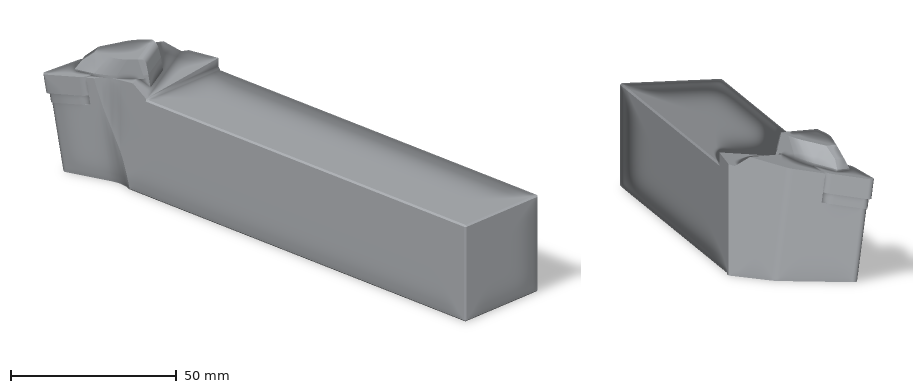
import cadquery as cq
import math

total_length = 170.0
shank_side = 32.0
edge_chamfer = 0.5
head_end = 35.7
step_fillet = 0.8

nose_overhang = 8.0
insert_angle = 55.0
insert_edge = 15.5
insert_thickness = 6.3
insert_nose_radius = 1.2
insert_side_radius = 3.2
tilt = 8.4
half_angle = insert_angle / 2

wall_setback = 0.5
shim_setback = 0.3
head_nose_radius = 1.4
near_wall_length = 18.0
relief_radius = 10.2
back_wall_offset = 11.9
back_wall_radius = 5.0
flare_start = 25.2
flare_radius = 14.5
head_top_drop = 0.3
ledge_drop = 4.0
ledge_slope_start = 32.1
ledge_slope_length = 4.6
shim_thickness = 3.2
shim_side_radius = 6.3

clamp_turn = 19.4
clamp_offset = 4.6
clamp_height = 6.5
clamp_band_height = 1.0
clamp_back = 35.9
clamp_tip = 10.9
clamp_tip_height = 2.0
clamp_top_front = 18.0
heel_start = 28.9
clamp_base_half = [(clamp_back, 6.1), (34.5, 7.0), (26.0, 7.0), (22.0, 6.5), (18.2, 5.5), (clamp_tip, 2.4)]
clamp_top_half = [(35.5, 5.6), (33.7, 7.0), (30.3, 7.0), (26.9, 6.5), (23.6, 5.0), (16.2, 1.0)]
clamp_back_fillet = 2.2

far = 255.0


def plane_at_corner(turn, drop):
    """Seat plane through the sharp insert corner, turned about its normal and lowered along it."""
    slope = math.tan(math.radians(tilt)) / math.sqrt(2)
    corner_gap = insert_nose_radius * (1 / (math.sqrt(2) * math.sin(math.radians(half_angle))) - 1)
    seat = cq.Plane(
        origin=(-corner_gap, -nose_overhang - corner_gap, shank_side),
        xDir=(1, 1, 2 * slope),
        normal=(-slope, -slope, 1),
    )
    lowered = cq.Plane(origin=seat.toWorldCoords((0, 0, -drop)), xDir=seat.xDir, normal=seat.zDir)
    return lowered.rotated((0, 0, turn))


def along(start, heading, distance):
    """Point at a distance from start in a heading given in degrees."""
    angle = math.radians(heading)
    return (start[0] + distance * math.cos(angle), start[1] + distance * math.sin(angle))


def corner_edge(body, plane, point, height):
    """Edge of a prism whose middle lies nearest to a point given in a seat plane."""
    middle = plane.toWorldCoords((*point, height))
    return body.edges(cq.selectors.NearestToPointSelector(middle.toTuple()))


def rhombus(drop, setback, thickness):
    """Sharp rhombic plate and its corners; front edges lie back from those of the insert."""
    plane = plane_at_corner(0, drop)
    tip = (setback / math.sin(math.radians(half_angle)), 0)
    back = (2 * insert_edge * math.cos(math.radians(half_angle)), 0)
    side = (back[0] - tip[0]) / (2 * math.cos(math.radians(half_angle)))
    corners = [tip, along(tip, -half_angle, side), back, along(tip, half_angle, side)]
    plate = cq.Workplane(plane).polyline(corners).close().extrude(-thickness)
    return plate, corners


def rounded_rhombus(drop, setback, thickness, nose_radius, side_radius):
    """Rhombic plate with its acute and obtuse corners rounded."""
    plate, corners = rhombus(drop, setback, thickness)
    plane = plane_at_corner(0, drop)
    for corner, radius in zip(corners, [nose_radius, side_radius] * 2):
        plate = corner_edge(plate, plane, corner, -thickness / 2).fillet(radius)
    return plate


def stock():
    """Bar with the flared, raised block at its front, before the tilted head walls are cut."""
    bar = cq.Workplane("XY").box(total_length, shank_side, shank_side, centered=False)
    bar = bar.edges("|X or >X").chamfer(edge_chamfer)
    raised = (
        cq.Workplane("XY", origin=(0, 0, edge_chamfer))
        .box(head_end, shank_side, 2 * shank_side, centered=False)
    )
    flare_end = (flare_start - flare_radius, -flare_radius)
    flare_middle = along((flare_start, -flare_radius), 135, flare_radius)
    nose = (
        cq.Workplane("XY")
        .moveTo(flare_start, shank_side)
        .lineTo(flare_start, 0)
        .threePointArc(flare_middle, flare_end)
        .lineTo(-flare_radius, -flare_radius)
        .lineTo(-flare_radius, shank_side)
        .close()
        .extrude(2 * shank_side)
    )
    step_fill = (
        cq.Workplane("XZ", origin=(head_end, 0, shank_side))
        .moveTo(0, 0)
        .lineTo(step_fillet, 0)
        .radiusArc((0, step_fillet), step_fillet)
        .close()
        .extrude(-shank_side)
    )
    return bar.union(raised).union(nose).union(step_fill)


def head_walls():
    """Prism square to the seat: nose walls, relief arc on the near side, 45 degree back wall."""
    plane = plane_at_corner(0, 0)
    corner = (wall_setback / math.sin(math.radians(half_angle)), 0)
    wall_end = along(corner, -half_angle, near_wall_length)
    center = along(wall_end, -half_angle - 90, relief_radius)
    relief_middle = along(center, 0, relief_radius)
    relief_end = along(center, -45, relief_radius)
    back_start = (corner[0] + back_wall_offset / math.tan(math.radians(half_angle)), back_wall_offset)
    prism = (
        cq.Workplane(plane)
        .moveTo(*corner)
        .lineTo(*wall_end)
        .threePointArc(relief_middle, relief_end)
        .lineTo(*along(relief_end, -135, far))
        .lineTo(far, -far)
        .lineTo(far, back_wall_offset)
        .lineTo(*back_start)
        .close()
        .extrude(far, both=True)
    )
    prism = corner_edge(prism, plane, corner, 0).fillet(head_nose_radius)
    return corner_edge(prism, plane, back_start, 0).fillet(back_wall_radius)


def clamp_plane():
    """Plane of the head top with its X axis along the clamp."""
    return plane_at_corner(-clamp_turn, head_top_drop)


def head_top_waste():
    """Space above the head top, the slope behind the clamp and the ledge."""
    plane = clamp_plane()
    section = cq.Plane(origin=plane.origin, xDir=plane.xDir, normal=-plane.yDir)
    ledge_start = ledge_slope_start + ledge_slope_length
    return (
        cq.Workplane(section)
        .moveTo(-shank_side, 0)
        .lineTo(ledge_slope_start, 0)
        .lineTo(ledge_start, -ledge_drop)
        .lineTo(2 * shank_side, -ledge_drop)
        .lineTo(2 * shank_side, 2 * shank_side)
        .lineTo(-shank_side, 2 * shank_side)
        .close()
        .extrude(2 * shank_side, both=True)
    )


def clamp_outline(sketch, half):
    """Symmetric outline from half its points: back, corner, arc start, arc middle, arc end, tip."""
    back, corner, start, middle, end, tip = half
    mirrored = [(x, -y) for x, y in half]
    return (
        sketch.moveTo(*back)
        .lineTo(*corner)
        .lineTo(*start)
        .threePointArc(middle, end)
        .lineTo(*tip)
        .lineTo(*mirrored[5])
        .lineTo(*mirrored[4])
        .threePointArc(mirrored[3], mirrored[2])
        .lineTo(*mirrored[1])
        .lineTo(*mirrored[0])
        .close()
    )


def clamp():
    """Tapered finger with a sloping front and a heel that reaches down to the ledge."""
    base = clamp_plane()
    base = cq.Plane(origin=base.toWorldCoords((0, clamp_offset, 0)), xDir=base.xDir, normal=base.zDir)
    band = clamp_outline(cq.Workplane(base), clamp_base_half).extrude(clamp_band_height)
    finger = clamp_outline(cq.Workplane(base).workplane(offset=clamp_band_height), clamp_base_half)
    finger = finger.workplane(offset=clamp_height - clamp_band_height)
    finger = clamp_outline(finger, clamp_top_half).loft(ruled=True)
    finger = corner_edge(finger, base, (clamp_back, 0), clamp_height).fillet(clamp_back_fillet)
    side = cq.Plane(origin=base.origin, xDir=base.xDir, normal=-base.yDir)
    front_waste = (
        cq.Workplane(side)
        .polyline([
            (clamp_tip, clamp_tip_height),
            (clamp_top_front, clamp_height),
            (clamp_tip, 2 * clamp_height),
        ])
        .close()
        .extrude(shank_side, both=True)
    )
    heel = (
        cq.Workplane(base)
        .center((heel_start + clamp_back) / 2, 0)
        .rect(clamp_back - heel_start, 2 * clamp_base_half[0][1])
        .extrude(-ledge_drop)
    )
    return finger.cut(front_waste).union(band).union(heel)


def build_holder(insert):
    """Shank, head, shim and clamp, with the seat left free for the insert."""
    head = stock().intersect(head_walls()).cut(head_top_waste())
    pocket, _ = rhombus(0, 0, insert_thickness + shim_thickness)
    shim = rounded_rhombus(
        insert_thickness, shim_setback, shim_thickness, head_nose_radius, shim_side_radius
    )
    return head.cut(pocket).union(shim).union(clamp()).cut(insert)


insert = rounded_rhombus(0, 0, insert_thickness, insert_nose_radius, insert_side_radius)
holder = build_holder(insert)

result = cq.Compound.makeCompound([holder.solids().val(), insert.solids().val()])